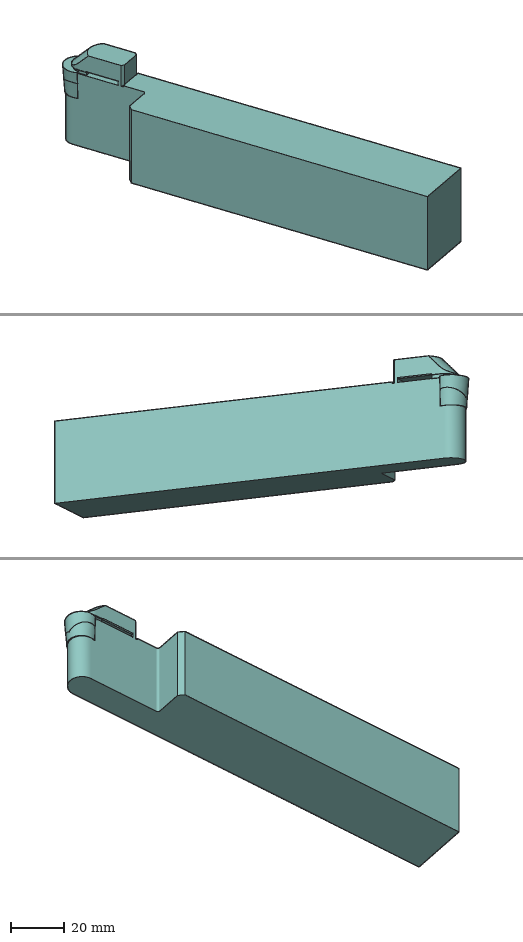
import cadquery as cq
import math

tool_length = 170.0
shank_width = 25.0
shank_height = 32.0

blade_width = 11.0
blade_nose_setback = 0.35
shoulder_x = 38.6
shoulder_inner_fillet = 1.0
shoulder_outer_chamfer = 2.0

insert_radius = 6.35
relief_angle = 4.0
pocket_depth = 11.5
pocket_wall_x = 8.75
insert_side_height = 4.5
insert_center_height = 7.8

clamp_top_z = 40.5
clamp_front_x = 3.8
clamp_rear_x = 28.75
clamp_rear_chamfer = 1.0
clamp_underside_chamfer = 0.4
clamp_underside_z = 33.0
clamp_slope_x = 10.9
clamp_slope_radius = 9.0
clamp_slope_angle = 45.0
front_foot_inset = 0.5
front_foot_end_x = 12.4
rear_foot_start_x = 26.5
clamp_floor_z = 31.5

blade_radius = blade_width / 2
blade_side_y = shank_width - blade_width
axis_y = shank_width - blade_radius
axis_x = insert_radius
blade_nose_center_x = axis_x + blade_nose_setback
pocket_floor_z = shank_height - pocket_depth


def box_between(x_range, y_range, z_range):
    """Box spanning the given (low, high) ranges."""
    sizes = [high - low for low, high in (x_range, y_range, z_range)]
    return cq.Workplane("XY").box(*sizes, centered=False).translate((x_range[0], y_range[0], z_range[0]))


def round_nose_bar(nose_x, end_x, half_width, z_range):
    """Bar along X with a half-round nose, centred on the blade."""
    center_x = nose_x + half_width
    return (
        cq.Workplane("XY", origin=(0, axis_y, z_range[0]))
        .moveTo(center_x, half_width)
        .threePointArc((nose_x, 0), (center_x, -half_width))
        .lineTo(end_x, -half_width)
        .lineTo(end_x, half_width)
        .close()
        .extrude(z_range[1] - z_range[0])
    )


def make_blade_and_shank():
    """Full-height blade with a round nose, stepping out to the wider shank."""
    nose_x = blade_nose_center_x - blade_radius
    return (
        cq.Workplane("XY")
        .moveTo(blade_nose_center_x, shank_width)
        .threePointArc((nose_x, axis_y), (blade_nose_center_x, blade_side_y))
        .lineTo(shoulder_x - shoulder_inner_fillet, blade_side_y)
        .radiusArc((shoulder_x, blade_side_y - shoulder_inner_fillet), shoulder_inner_fillet)
        .lineTo(shoulder_x, shoulder_outer_chamfer)
        .lineTo(shoulder_x + shoulder_outer_chamfer, 0)
        .lineTo(tool_length, 0)
        .lineTo(tool_length, shank_width)
        .close()
        .extrude(shank_height)
    )


def make_nose_cone():
    """Tapered round nose that fills the front pocket, flat against the pocket wall."""
    floor_radius = insert_radius - pocket_depth * math.tan(math.radians(relief_angle))
    cone = (
        cq.Workplane("XZ", origin=(axis_x, axis_y, 0))
        .moveTo(0, pocket_floor_z)
        .lineTo(floor_radius, pocket_floor_z)
        .lineTo(insert_radius, shank_height)
        .lineTo(0, shank_height)
        .close()
        .revolve(360, (0, 0, 0), (0, 1, 0))
    )
    y_range = (axis_y - insert_radius, axis_y + insert_radius)
    return cone.intersect(box_between((0, pocket_wall_x), y_range, (pocket_floor_z, shank_height)))


def make_insert_envelope():
    """Prism along X whose V-shaped bottom locates the insert on its seat."""
    side_z = shank_height - insert_side_height
    return (
        cq.Workplane("YZ")
        .moveTo(axis_y - insert_radius, shank_height)
        .lineTo(axis_y - insert_radius, side_z)
        .lineTo(axis_y, shank_height - insert_center_height)
        .lineTo(axis_y + insert_radius, side_z)
        .lineTo(axis_y + insert_radius, shank_height)
        .close()
        .extrude(pocket_wall_x)
    )


def make_slope_cylinder():
    """Inclined cylinder whose upper front surface forms the sloping clamp nose."""
    angle = math.radians(clamp_slope_angle)
    along = cq.Vector(math.cos(angle), 0, math.sin(angle))
    inward = cq.Vector(math.sin(angle), 0, -math.cos(angle))
    slope_top = cq.Vector(clamp_slope_x, axis_y, clamp_top_z)
    reach = 2 * clamp_rear_x
    start = slope_top + inward * clamp_slope_radius - along * reach
    return cq.Workplane(cq.Solid.makeCylinder(clamp_slope_radius, 2 * reach, start, along))


def make_underside_chamfer(side):
    """Wedge that bevels the lower edge of the arm between its feet; side is +1 or -1 in Y."""
    edge_y = axis_y + side * blade_radius
    return (
        cq.Workplane("YZ", origin=(front_foot_end_x, 0, 0))
        .moveTo(edge_y, clamp_underside_z)
        .lineTo(edge_y, clamp_underside_z + clamp_underside_chamfer)
        .lineTo(edge_y - side * clamp_underside_chamfer, clamp_underside_z)
        .close()
        .extrude(rear_foot_start_x - front_foot_end_x)
    )


def make_clamp():
    """Clamp arm with a round sloping nose, standing on a front and a rear foot."""
    arm = round_nose_bar(clamp_front_x, clamp_rear_x, blade_radius, (clamp_floor_z, clamp_top_z))
    arm = arm.edges("|Z and >X").chamfer(clamp_rear_chamfer)

    gap_y = (blade_side_y, shank_width)
    arm = arm.cut(box_between((0, rear_foot_start_x), gap_y, (clamp_floor_z, clamp_underside_z)))

    for side in (-1, 1):
        arm = arm.cut(make_underside_chamfer(side))

    nose_end_x = clamp_slope_x + blade_radius
    nose_zone = box_between((0, nose_end_x), gap_y, (clamp_underside_z, clamp_top_z))
    sloped_nose = arm.intersect(nose_zone).intersect(make_slope_cylinder())
    arm = arm.cut(nose_zone).union(sloped_nose)

    foot = round_nose_bar(
        clamp_front_x + front_foot_inset,
        front_foot_end_x,
        blade_radius - front_foot_inset,
        (clamp_floor_z, clamp_underside_z),
    )
    return arm.union(foot)


def make_holder(nose_cone, insert):
    """Blade, shank, insert seat and clamp as one piece."""
    blade_y = (blade_side_y, shank_width)
    pocket = box_between((0, pocket_wall_x), blade_y, (pocket_floor_z, shank_height))
    clamp_recess = box_between((pocket_wall_x, clamp_rear_x), blade_y, (clamp_floor_z, shank_height))
    holder = make_blade_and_shank().cut(pocket).cut(clamp_recess)
    return holder.union(nose_cone.cut(insert)).union(make_clamp().cut(insert))


nose_cone = make_nose_cone()
insert = nose_cone.intersect(make_insert_envelope())
holder = make_holder(nose_cone, insert)

result = cq.Compound.makeCompound([*holder.solids().vals(), *insert.solids().vals()])